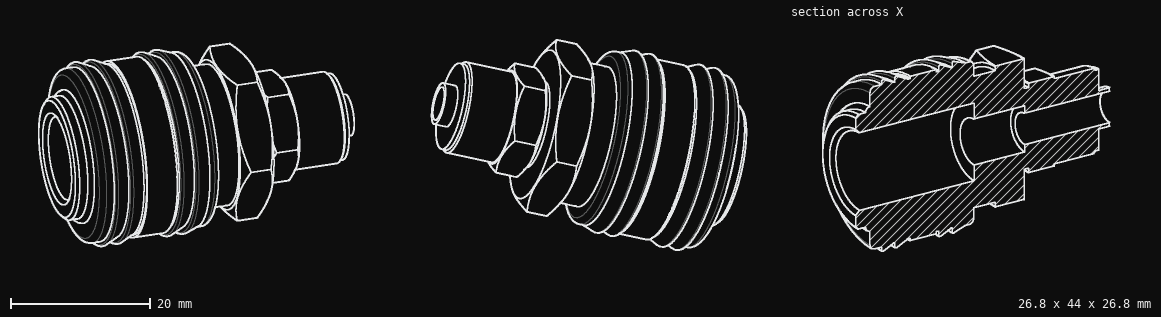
import cadquery as cq
import math

TOTAL_LENGTH = 44.0

NOSE_RADIUS = 8.98
NOSE_CHAMFER = 0.5
NOSE_LENGTH = 1.7
SHOULDER_ROUND = 0.75

SLEEVE_START = NOSE_LENGTH + SHOULDER_ROUND
SLEEVE_END = 20.5
SLEEVE_RADIUS = 12.7
SLEEVE_ROUND = 0.85
GROOVE_RADIUS = 12.5
BAND_RADIUS = 12.85
BAND_START = 9.45
BAND_END = 14.0

RIDGE_RADIUS = 13.4
RIDGE_CREST_ROUND = 0.285
RIDGE_LENGTH = 2.3
FRONT_RIDGE_START = 4.5
REAR_RIDGE_START = 14.4

NECK_RADIUS = 10.3

BODY_HEX_START = 24.15
BODY_HEX_END = 29.25
BODY_HEX_FLATS = 22.0
NUT_HEX_START = 29.9
NUT_HEX_END = 34.45
NUT_HEX_FLATS = 14.0
HEX_SIDES = 6
HEX_CHAMFER_ANGLE = 30.0
HEX_FACE_INSET = 0.1

LIP_RADIUS = 6.35
NUT_RADIUS = 6.7
NUT_SHOULDER = 41.25
NUT_CHAMFER_LENGTH = 0.25
NUT_END = 42.15
TUBE_RADIUS = 3.05

SOCKET_RADIUS = 6.05
SOCKET_MOUTH_CHAMFER = 0.65
SOCKET_DEPTH = SLEEVE_END
SEAT_RADIUS = 3.55
SEAT_DEPTH = BODY_HEX_END
PASSAGE_RADIUS = 2.4


def quarter_round(outline, center, radius, start_angle):
    """Add a quarter circle, counterclockwise from start_angle in degrees."""
    middle, end = [
        (
            center[0] + radius * math.cos(math.radians(start_angle + step)),
            center[1] + radius * math.sin(math.radians(start_angle + step)),
        )
        for step in (45, 90)
    ]
    return outline.threePointArc(middle, end)


def ridge(outline, start, foot_radius):
    """Add one grip ridge whose cone meets its crest tangentially."""
    crest_radius = RIDGE_RADIUS - RIDGE_CREST_ROUND
    crest_y = start + RIDGE_CREST_ROUND
    foot_y = start + RIDGE_LENGTH
    foot_drop = crest_radius - foot_radius
    foot_run = foot_y - crest_y
    foot_distance = math.hypot(foot_drop, foot_run)
    slope = math.atan2(foot_drop, foot_run) + math.asin(RIDGE_CREST_ROUND / foot_distance)
    cone_end = (
        crest_radius + RIDGE_CREST_ROUND * math.cos(slope),
        crest_y + RIDGE_CREST_ROUND * math.sin(slope),
    )
    return (
        outline.lineTo(crest_radius, start)
        .threePointArc((RIDGE_RADIUS, crest_y), cone_end)
        .lineTo(foot_radius, foot_y)
    )


def socket_body():
    """Nose, ribbed sleeve and neck as one solid of revolution."""
    sleeve_round_center = SLEEVE_RADIUS - SLEEVE_ROUND
    outline = (
        cq.Workplane("XY")
        .lineTo(NOSE_RADIUS - NOSE_CHAMFER, 0)
        .lineTo(NOSE_RADIUS, NOSE_CHAMFER)
        .lineTo(NOSE_RADIUS, NOSE_LENGTH)
    )
    outline = quarter_round(outline, (NOSE_RADIUS, SLEEVE_START), SHOULDER_ROUND, -90)
    outline = outline.lineTo(sleeve_round_center, SLEEVE_START)
    outline = quarter_round(outline, (sleeve_round_center, SLEEVE_START + SLEEVE_ROUND), SLEEVE_ROUND, -90)

    outline = outline.lineTo(SLEEVE_RADIUS, FRONT_RIDGE_START)
    outline = ridge(outline, FRONT_RIDGE_START, GROOVE_RADIUS)
    outline = ridge(outline, FRONT_RIDGE_START + RIDGE_LENGTH, GROOVE_RADIUS)
    outline = (
        outline.lineTo(GROOVE_RADIUS, BAND_START)
        .lineTo(BAND_RADIUS, BAND_START)
        .lineTo(BAND_RADIUS, BAND_END)
        .lineTo(GROOVE_RADIUS, BAND_END)
        .lineTo(GROOVE_RADIUS, REAR_RIDGE_START)
    )
    outline = ridge(outline, REAR_RIDGE_START, GROOVE_RADIUS)
    outline = ridge(outline, REAR_RIDGE_START + RIDGE_LENGTH, SLEEVE_RADIUS)

    outline = outline.lineTo(SLEEVE_RADIUS, SLEEVE_END - SLEEVE_ROUND)
    outline = quarter_round(outline, (sleeve_round_center, SLEEVE_END - SLEEVE_ROUND), SLEEVE_ROUND, 0)
    return (
        outline.lineTo(NECK_RADIUS, SLEEVE_END)
        .lineTo(NECK_RADIUS, BODY_HEX_START)
        .lineTo(0, BODY_HEX_START)
        .close()
        .revolve(360, (0, 0), (0, 1))
    )


def hexagon(start, end, across_flats):
    """Hexagon along Y with its corners chamfered on both faces."""
    across_corners = across_flats / math.cos(math.pi / HEX_SIDES)
    face_radius = across_flats / 2 - HEX_FACE_INSET
    corner_radius = across_corners / 2
    chamfer_length = (corner_radius - face_radius) * math.tan(math.radians(HEX_CHAMFER_ANGLE))
    prism = (
        cq.Workplane("XZ", origin=(0, start, 0))
        .polygon(HEX_SIDES, across_corners)
        .extrude(start - end)
    )
    chamfer_envelope = (
        cq.Workplane("XY")
        .moveTo(0, start)
        .lineTo(face_radius, start)
        .lineTo(corner_radius, start + chamfer_length)
        .lineTo(corner_radius, end - chamfer_length)
        .lineTo(face_radius, end)
        .lineTo(0, end)
        .close()
        .revolve(360, (0, 0), (0, 1))
    )
    return prism.intersect(chamfer_envelope)


def cylinder(start, end, radius):
    """Cylinder along Y."""
    return cq.Workplane("XZ", origin=(0, start, 0)).circle(radius).extrude(start - end)


def nut_barrel():
    """Round end of the nut with its chamfer and rear lip."""
    return (
        cq.Workplane("XY")
        .moveTo(0, NUT_HEX_END)
        .lineTo(NUT_RADIUS, NUT_HEX_END)
        .lineTo(NUT_RADIUS, NUT_SHOULDER)
        .lineTo(LIP_RADIUS, NUT_SHOULDER + NUT_CHAMFER_LENGTH)
        .lineTo(LIP_RADIUS, NUT_END)
        .lineTo(0, NUT_END)
        .close()
        .revolve(360, (0, 0), (0, 1))
    )


def stepped_bore():
    """Chamfered socket, valve seat and through passage."""
    return (
        cq.Workplane("XY")
        .lineTo(SOCKET_RADIUS + SOCKET_MOUTH_CHAMFER, 0)
        .lineTo(SOCKET_RADIUS, SOCKET_MOUTH_CHAMFER)
        .lineTo(SOCKET_RADIUS, SOCKET_DEPTH)
        .lineTo(SEAT_RADIUS, SOCKET_DEPTH)
        .lineTo(SEAT_RADIUS, SEAT_DEPTH)
        .lineTo(PASSAGE_RADIUS, SEAT_DEPTH)
        .lineTo(PASSAGE_RADIUS, TOTAL_LENGTH)
        .lineTo(0, TOTAL_LENGTH)
        .close()
        .revolve(360, (0, 0), (0, 1))
    )


result = (
    socket_body()
    .union(hexagon(BODY_HEX_START, BODY_HEX_END, BODY_HEX_FLATS))
    .union(cylinder(BODY_HEX_END, NUT_HEX_START, LIP_RADIUS))
    .union(hexagon(NUT_HEX_START, NUT_HEX_END, NUT_HEX_FLATS))
    .union(nut_barrel())
    .union(cylinder(NUT_END, TOTAL_LENGTH, TUBE_RADIUS))
    .cut(stepped_bore())
)